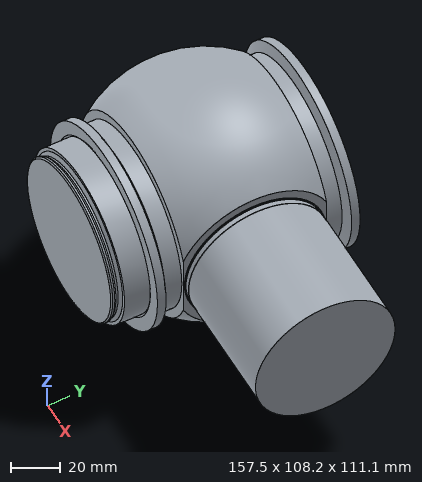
import cadquery as cq

ball_radius = 55.53
ball_half_width = 32.6
ball_flat_x = 42.2

neck_radius = 41.0
flange_radius = 45.5
flange_face_y = 46.2
flange_rim = 4.0
flange_taper = 1.9

seat_radius = 32.1
seat_end_x = 42.7
collar_radius = 31.7
collar_end_x = 45.0
pipe_radius = 31.8
overall_length = 157.5
pipe_end_x = overall_length - ball_radius

spigot_radius = 38.5
spigot_end_y = -57.3
recess_radius = 39.4
recess_depth = 0.8
shoulder_radius = 36.9
shoulder_length = 1.3
groove_radius = 35.3
groove_length = 1.0
lip_radius = 36.0
lip_flare = 1.0
lip_chamfer = 0.6
lip_end_y = -62.0


def revolve_about_y(profile):
    """Revolve a closed outline of (radius, y) points about the Y axis."""
    return cq.Workplane("XY").polyline(profile).close().revolve(360, (0, 0, 0), (0, 1, 0))


def make_ball():
    """Sphere cut flat at both Y ends and on the pipe side."""
    arc_end_radius = (ball_radius**2 - ball_half_width**2) ** 0.5
    ball = (
        cq.Workplane("XY")
        .moveTo(0, -ball_half_width)
        .lineTo(arc_end_radius, -ball_half_width)
        .threePointArc((ball_radius, 0), (arc_end_radius, ball_half_width))
        .lineTo(0, ball_half_width)
        .close()
        .revolve(360, (0, 0, 0), (0, 1, 0))
    )
    envelope = cq.Workplane("XY").box(ball_radius + ball_flat_x, 2 * ball_radius, 2 * ball_radius)
    return ball.intersect(envelope.translate(((ball_flat_x - ball_radius) / 2, 0, 0)))


def make_flanged_neck():
    """Neck through the ball with the same tapered flange at both ends."""
    rim_y = flange_face_y - flange_rim
    taper_y = rim_y - flange_taper
    return revolve_about_y([
        (0, recess_depth - flange_face_y),
        (spigot_radius, recess_depth - flange_face_y),
        (recess_radius, -flange_face_y),
        (flange_radius, -flange_face_y),
        (flange_radius, -rim_y),
        (neck_radius, -taper_y),
        (neck_radius, taper_y),
        (flange_radius, rim_y),
        (flange_radius, flange_face_y),
        (0, flange_face_y),
    ])


def make_spigot():
    """Stepped plug on the -Y flange, ending in a groove and a flared lip."""
    groove_start_y = spigot_end_y - shoulder_length
    groove_end_y = groove_start_y - groove_length
    return revolve_about_y([
        (0, recess_depth - flange_face_y),
        (spigot_radius, recess_depth - flange_face_y),
        (spigot_radius, spigot_end_y),
        (shoulder_radius, spigot_end_y),
        (groove_radius, groove_start_y),
        (groove_radius, groove_end_y),
        (lip_radius, groove_end_y - lip_flare),
        (lip_radius, lip_end_y + lip_chamfer),
        (lip_radius - lip_chamfer, lip_end_y),
        (0, lip_end_y),
    ])


def cylinder_along_x(radius, end_x):
    """Solid cylinder on the X axis from the ball centre to end_x."""
    return cq.Workplane("YZ").circle(radius).extrude(end_x)


def make_pipe():
    """Seat, collar and pipe, kept as separate steps along +X."""
    seat = cylinder_along_x(seat_radius, seat_end_x)
    collar = cylinder_along_x(collar_radius, collar_end_x)
    pipe = cq.Workplane("YZ", origin=(collar_end_x, 0, 0)).circle(pipe_radius)
    return seat.union(collar).union(pipe.extrude(pipe_end_x - collar_end_x))


result = make_ball().union(make_flanged_neck()).union(make_spigot()).union(make_pipe())